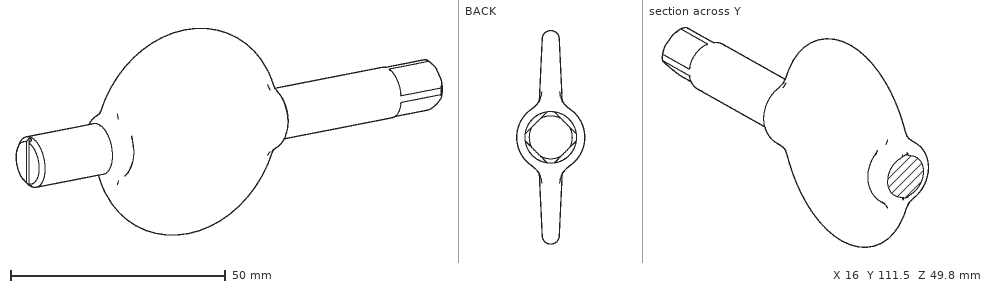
import cadquery as cq

shaft_diameter = 12.0
shaft_radius = shaft_diameter / 2
total_length = 111.5
drive_end = 67.6
slotted_end = drive_end - total_length
end_chamfer = 1.0

square_width = 9.6
square_length = 12.0

slot_width = 1.1
slot_depth = 0.8

disc_diameter = 49.8
disc_radius = disc_diameter / 2
rim_thickness = 4.0
rim_band = 1.8
hub_thickness = 6.0
hub_radius = 2.0

collar_diameter = 16.0
collar_rounding = 3.0
collar_face = 24.3
collar_blend = 5.6
seam_tolerance = 0.1


def cylinder_along_y(radius, start, end):
    return cq.Workplane("XZ", origin=(0, start, 0)).circle(radius).extrude(start - end)


def make_shaft():
    shaft = cylinder_along_y(shaft_radius, slotted_end, drive_end)
    shaft = shaft.faces("<Y or >Y").edges().chamfer(end_chamfer)
    square = (
        cq.Workplane("XZ", origin=(0, drive_end, 0))
        .transformed(rotate=(0, 0, 45))
        .rect(square_width, square_width)
        .extrude(square_length)
    )
    sleeve = cylinder_along_y(shaft_diameter, drive_end - square_length, drive_end)
    slot = cq.Workplane("XY").box(slot_width, 2 * slot_depth, shaft_diameter)
    slot = slot.translate((0, slotted_end, 0))
    return shaft.cut(sleeve.cut(square)).cut(slot)


def make_disc():
    """Lens-like disc turned about the X axis with a round rim."""
    half_rim = rim_thickness / 2
    half_hub = hub_thickness / 2
    band_radius = disc_radius - rim_band
    return (
        cq.Workplane("XY")
        .moveTo(-half_hub, 0)
        .lineTo(-half_hub, hub_radius)
        .lineTo(-half_rim, band_radius)
        .threePointArc((0, disc_radius), (half_rim, band_radius))
        .lineTo(half_hub, hub_radius)
        .lineTo(half_hub, 0)
        .close()
        .revolve(360, (0, 0, 0), (1, 0, 0))
    )


def make_collar(side):
    """Round-edged collar turned about the shaft axis."""
    flat_radius = collar_diameter / 2 - collar_rounding
    middle = side * (collar_face - collar_rounding)
    return (
        cq.Workplane("XY")
        .moveTo(0, middle - collar_rounding)
        .lineTo(flat_radius, middle - collar_rounding)
        .threePointArc((collar_diameter / 2, middle), (flat_radius, middle + collar_rounding))
        .lineTo(0, middle + collar_rounding)
        .close()
        .revolve(360, (0, 0, 0), (0, 1, 0))
    )


def is_collar_seam(edge):
    """True for the edges where a collar runs into a face or the rim of the disc."""
    centre = edge.Center()
    beside_disc = seam_tolerance < abs(centre.x) < hub_thickness / 2
    at_collar = abs(centre.y) > collar_face - 2 * collar_rounding - seam_tolerance
    is_free_curve = edge.geomType() not in ("CIRCLE", "LINE")
    return beside_disc and at_collar and abs(centre.z) < collar_diameter / 2 and is_free_curve


def make_vane():
    """Disc trimmed flush with the outer collar faces and blended into the collars."""
    trim = cq.Workplane("XY").box(total_length, 2 * collar_face, total_length)
    vane = make_disc().intersect(trim).union(make_collar(1)).union(make_collar(-1))
    seams = [edge for edge in vane.edges().vals() if is_collar_seam(edge)]
    return vane.newObject(seams).fillet(collar_blend)


shaft = make_shaft()
middle = cylinder_along_y(shaft_diameter, -collar_face, collar_face)
result = make_vane().union(shaft.cut(middle))